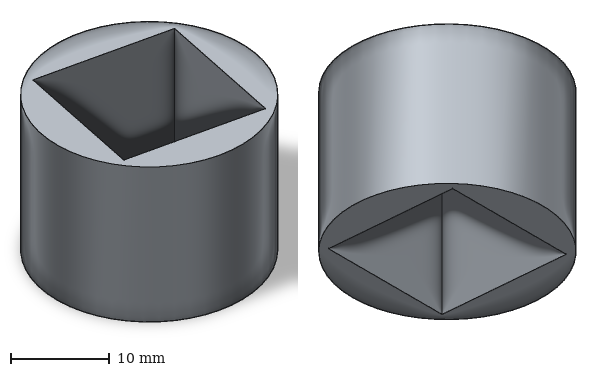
import cadquery as cq

outer_diameter = 26.0
height = 19.0
bore_side = 17.0


def sleeve_body():
    """Solid round cylinder standing on the XY plane, centred on Z."""
    return cq.Workplane("XY").circle(outer_diameter / 2).extrude(height)


def square_bore():
    """Square prism running the full height, sides parallel to X and Y."""
    return cq.Workplane("XY").rect(bore_side, bore_side).extrude(height)


result = sleeve_body().cut(square_bore())